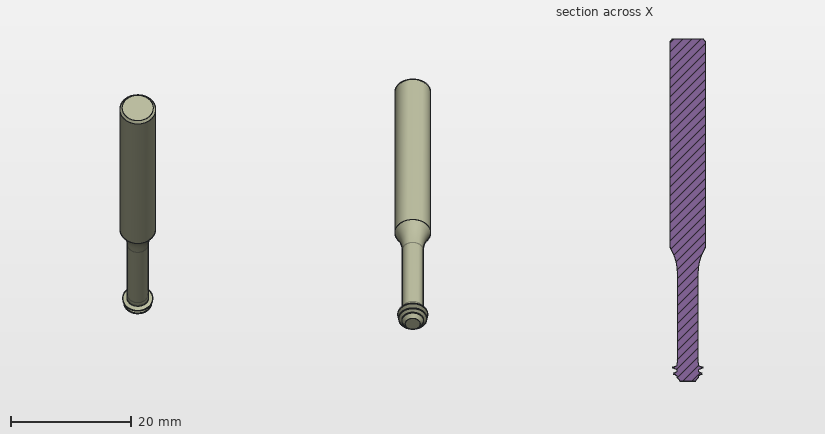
import cadquery as cq
import math

total_length = 57.0
shank_radius = 2.99
top_chamfer = 0.4

neck_radius = 1.75
blend_bottom = 18.0
shank_bottom = 22.3

core_radius = 1.8
tip_radius = 1.25
tip_height = 0.7
flare_top = 3.6
flare_bottom = 2.9

lower_tooth = (2.35, 0.9, 1.2, 1.4, 1.65)
upper_tooth = (2.5, 1.95, 2.2, 2.4, 2.6)


def arc_midpoint(start_radius, start_z, end_radius, end_z):
    """Middle of an arc that leaves the start parallel to the axis."""
    rise = end_radius - start_radius
    run = end_z - start_z
    arc_radius = (run**2 + rise**2) / (2 * rise)
    half_angle = math.asin(abs(run) / arc_radius) / 2
    return (
        start_radius + arc_radius * (1 - math.cos(half_angle)),
        start_z + math.copysign(arc_radius * math.sin(half_angle), run),
    )


def add_tooth(profile, tooth):
    """Continue the profile upward over one ring tooth."""
    crest_radius, root_low, crest_low, crest_high, root_high = tooth
    return (
        profile.lineTo(core_radius, root_low)
        .lineTo(crest_radius, crest_low)
        .lineTo(crest_radius, crest_high)
        .lineTo(core_radius, root_high)
    )


profile = (
    cq.Workplane("XZ")
    .moveTo(0, 0)
    .lineTo(tip_radius, 0)
    .lineTo(core_radius, tip_height)
)
for tooth in (lower_tooth, upper_tooth):
    profile = add_tooth(profile, tooth)

flare_middle = arc_midpoint(neck_radius, flare_top, core_radius, flare_bottom)
blend_middle = arc_midpoint(neck_radius, blend_bottom, shank_radius, shank_bottom)
profile = (
    profile.lineTo(core_radius, flare_bottom)
    .threePointArc(flare_middle, (neck_radius, flare_top))
    .lineTo(neck_radius, blend_bottom)
    .threePointArc(blend_middle, (shank_radius, shank_bottom))
    .lineTo(shank_radius, total_length - top_chamfer)
    .lineTo(shank_radius - top_chamfer, total_length)
    .lineTo(0, total_length)
    .close()
)

result = profile.revolve(360, (0, 0, 0), (0, 1, 0))